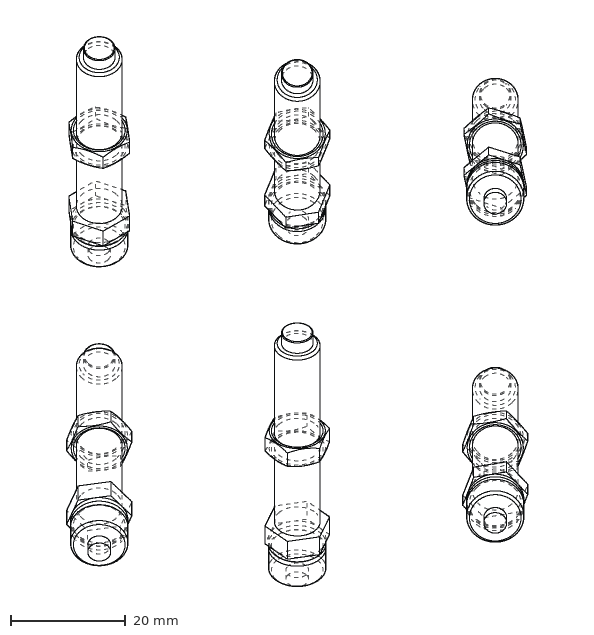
import cadquery as cq
import math

total_length = 55.5
across_flats = 10.0
hex_height = 4.0
edge_chamfer = 0.5
barrel_diameter = 8.0

stub_diameter = 4.0
stub_length = 2.0
head_diameter = 10.0
head_groove_z = 7.5
groove_depth = edge_chamfer
hex_bottom_z = 9.0

tip_diameter = 5.5
tip_length = 2.5
tip_chamfer = 0.15

nut_bottom_z = 29.35
nut_face_diameter = 9.75
nut_chamfer_angle = 30.0
nut_countersink = 0.5

barrel_top_z = total_length - tip_length
hex_corner_diameter = across_flats / math.cos(math.radians(30))


def hexagon_prism(bottom_z):
    """Hexagonal prism with two corners on the Y axis."""
    prism = cq.Workplane("XY").polygon(6, hex_corner_diameter).extrude(hex_height)
    return prism.rotate((0, 0, 0), (0, 0, 1), 90).translate((0, 0, bottom_z))


def cylinder(diameter, bottom_z, top_z):
    """Upright cylinder between two heights."""
    return cq.Workplane("XY").workplane(offset=bottom_z).circle(diameter / 2).extrude(top_z - bottom_z)


def make_head():
    """Round head with a chamfered lower edge and a V groove around it."""
    radius = head_diameter / 2
    profile = [
        (0, stub_length),
        (radius - edge_chamfer, stub_length),
        (radius, stub_length + edge_chamfer),
        (radius, head_groove_z - groove_depth),
        (radius - groove_depth, head_groove_z),
        (radius, head_groove_z + groove_depth),
        (radius, hex_bottom_z),
        (0, hex_bottom_z),
    ]
    return cq.Workplane("XZ").polyline(profile).close().revolve(360, (0, 0), (0, 1))


def make_sensor():
    """Sensor body: stub, head, hexagon, barrel and tip in one piece."""
    stub = cylinder(stub_diameter, 0, stub_length)
    barrel = cylinder(barrel_diameter, hex_bottom_z, barrel_top_z).faces(">Z").chamfer(edge_chamfer)
    tip = cylinder(tip_diameter, barrel_top_z, total_length).faces(">Z").chamfer(tip_chamfer)
    return stub.union(make_head()).union(hexagon_prism(hex_bottom_z)).union(barrel).union(tip)


def make_nut():
    """Lock nut with conical corner chamfers and a bore countersunk at both ends."""
    nut_top_z = nut_bottom_z + hex_height
    face_radius = nut_face_diameter / 2
    corner_radius = hex_corner_diameter / 2
    corner_drop = (corner_radius - face_radius) * math.tan(math.radians(nut_chamfer_angle))
    bore_radius = barrel_diameter / 2
    envelope_profile = [
        (bore_radius + nut_countersink, nut_bottom_z),
        (face_radius, nut_bottom_z),
        (corner_radius, nut_bottom_z + corner_drop),
        (corner_radius, nut_top_z - corner_drop),
        (face_radius, nut_top_z),
        (bore_radius + nut_countersink, nut_top_z),
        (bore_radius, nut_top_z - nut_countersink),
        (bore_radius, nut_bottom_z + nut_countersink),
    ]
    envelope = cq.Workplane("XZ").polyline(envelope_profile).close().revolve(360, (0, 0), (0, 1))
    return hexagon_prism(nut_bottom_z).intersect(envelope)


sensor = make_sensor()
nut = make_nut()
result = cq.Compound.makeCompound([sensor.val(), nut.val()])